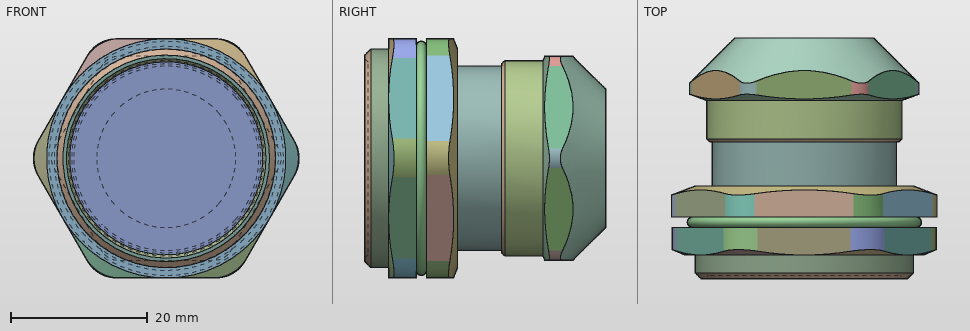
import cadquery as cq
import math

front_chamfer = 0.9
collar_end = 3.5
front_nut_end = 7.55
ring_end = 9.0
rear_nut_end = 13.6
neck_end = 20.0
sleeve_chamfer = 0.45
cap_start = 26.1
total_length = 35.25

collar_diameter = 32.0
neck_diameter = 27.0
sleeve_diameter = 28.6
ring_diameter = 34.3
recess_mouth_diameter = 29.15
recess_floor_diameter = 28.22
recess_depth = (recess_mouth_diameter - recess_floor_diameter) / 2

nut_across_flats = 35.0
front_nut_corner_diameter = 38.65
front_nut_chamfer = 1.15
rear_nut_corner_diameter = 38.87
rear_nut_face_diameter = 31.87
rear_nut_chamfer = 1.65

cap_across_flats = 29.85
cap_corner_diameter = 33.6
cap_front_chamfer = 1.1
cap_rear_face_diameter = 20.3

corner_ratio = 1 / math.cos(math.radians(30))
nut_sharp_radius = nut_across_flats * corner_ratio / 2
cap_sharp_radius = cap_across_flats * corner_ratio / 2
cap_cone_length = cap_sharp_radius - cap_rear_face_diameter / 2


def revolved(profile):
    """Solid of revolution about Y from (radius, station) points, closed on the axis."""
    start, end = profile[0][1], profile[-1][1]
    outline = [(0, start)] + profile + [(0, end)]
    return cq.Workplane("XY").polyline(outline).close().revolve(360, (0, 0, 0), (0, 1, 0))


def cylinder(diameter, start, end):
    return revolved([(diameter / 2, start), (diameter / 2, end)])


def hexagon(across_flats, corner_diameter, start, end):
    """Hexagonal prism along Y with corners on +X and -X, rounded to the corner diameter."""
    across_corners = across_flats * corner_ratio
    corner_radius = (across_corners - corner_diameter) / 2 / (corner_ratio - 1)
    plane = cq.Workplane("XZ", origin=(0, start, 0))
    prism = plane.polygon(6, across_corners).extrude(start - end)
    return prism.edges("|Y").fillet(corner_radius)


def collar():
    radius = collar_diameter / 2
    return revolved([(radius - front_chamfer, 0), (radius, front_chamfer), (radius, collar_end)])


def front_nut():
    turned = revolved([
        (nut_across_flats / 2, collar_end),
        (nut_sharp_radius, collar_end + front_nut_chamfer),
        (nut_sharp_radius, front_nut_end),
    ])
    return hexagon(nut_across_flats, front_nut_corner_diameter, collar_end, front_nut_end).intersect(turned)


def sealing_ring():
    """Flat disc whose rim is a full half-round."""
    rim_radius = (ring_end - front_nut_end) / 2
    edge = ring_diameter / 2 - rim_radius
    middle = front_nut_end + rim_radius
    return (
        cq.Workplane("XY")
        .moveTo(0, front_nut_end)
        .lineTo(edge, front_nut_end)
        .threePointArc((ring_diameter / 2, middle), (edge, ring_end))
        .lineTo(0, ring_end)
        .close()
        .revolve(360, (0, 0, 0), (0, 1, 0))
    )


def rear_nut():
    turned = revolved([
        (nut_sharp_radius, ring_end),
        (nut_sharp_radius, rear_nut_end - rear_nut_chamfer),
        (rear_nut_face_diameter / 2, rear_nut_end),
    ])
    return hexagon(nut_across_flats, rear_nut_corner_diameter, ring_end, rear_nut_end).intersect(turned)


def sleeve():
    radius = sleeve_diameter / 2
    return revolved([
        (radius - sleeve_chamfer, neck_end),
        (radius, neck_end + sleeve_chamfer),
        (radius, cap_start),
    ])


def cap():
    """Hexagonal cap turned to a cone at the rear and chamfered at the front."""
    turned = revolved([
        (sleeve_diameter / 2, cap_start),
        (cap_sharp_radius, cap_start + cap_front_chamfer),
        (cap_sharp_radius, total_length - cap_cone_length),
        (cap_rear_face_diameter / 2, total_length),
    ])
    return hexagon(cap_across_flats, cap_corner_diameter, cap_start, total_length).intersect(turned)


def front_recess():
    """Shallow tapered recess in the front face."""
    return revolved([(recess_mouth_diameter / 2, 0), (recess_floor_diameter / 2, recess_depth)])


neck = cylinder(neck_diameter, rear_nut_end, neck_end)
body = collar()
for section in (front_nut(), sealing_ring(), rear_nut(), neck, sleeve(), cap()):
    body = body.union(section)

result = body.cut(front_recess())